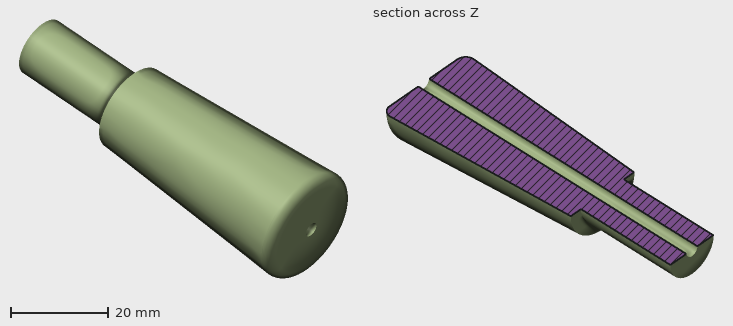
import cadquery as cq

length = 76.2
shaft_length = 25.4
shaft_diameter = 12.95
grip_small_diameter = 19.05
grip_large_diameter = 25.0
rim_radius = 2.3
bore_diameter = 3.2

start_x = -length / 2
end_x = length / 2
shoulder_x = start_x + shaft_length
rim_x = end_x - rim_radius
grip_large_radius = grip_large_diameter / 2

rim_diagonal = rim_radius * 0.5 ** 0.5
rim_center_y = grip_large_radius - rim_radius
profile = (
    cq.Workplane("XY")
    .moveTo(start_x, bore_diameter / 2)
    .lineTo(start_x, shaft_diameter / 2)
    .lineTo(shoulder_x, shaft_diameter / 2)
    .lineTo(shoulder_x, grip_small_diameter / 2)
    .lineTo(rim_x, grip_large_radius)
    .threePointArc(
        (rim_x + rim_diagonal, rim_center_y + rim_diagonal),
        (end_x, rim_center_y),
    )
    .lineTo(end_x, bore_diameter / 2)
    .close()
)

result = profile.revolve(360, (0, 0, 0), (1, 0, 0))